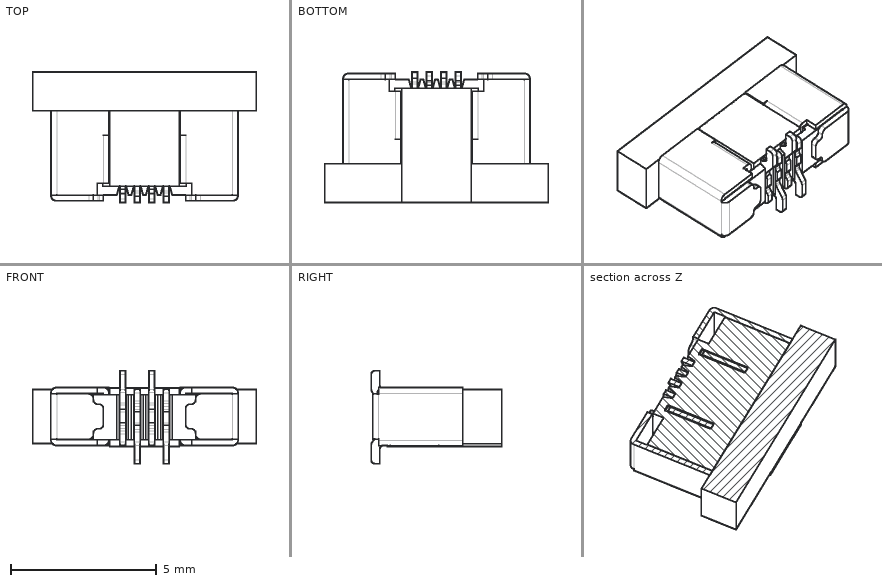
import cadquery as cq


REAR = 2.25
SLIDER_FRONT = 0.91
CURL_REAR = 0.07
NOTCH_REAR = -1.59
LID_FRONT = -1.69
LIP_FRONT = -1.995

SLIDER_LENGTH = 7.7
SLIDER_TOP = 0.955
SLIDER_BOTTOM = -0.91

SHEET = 0.2
CLIP_OUTER_X = 3.22
CLIP_INNER_X = 1.225
CLIP_MID_Z = 0.02
CLIP_HALF_HEIGHT = 1.0
BEND_RADIUS = 0.19
CURL_DEPTH = 0.41
NOTCH_X = 1.625
PLATE_HALF_HEIGHT = 0.78
PLATE_EDGE_X = 1.755
PLATE_TONGUE_X = 1.42
TONGUE_HALF_HEIGHT = 0.42
TONGUE_RADIUS = 0.15
PLATE_CORNER_RADIUS = 0.17

BLOCK_HALF_LENGTH = 1.2
BLOCK_HALF_HEIGHT = 1.01
LIP_HALF_LENGTH = 1.755
SLOT_OUTER_X = 1.44
CHANNEL_BASE_WIDTH = 0.23
CHANNEL_MOUTH_WIDTH = 0.4

PIN_COUNT = 4
PIN_PITCH = 0.5
PIN_WIDTH = 0.2
RECESS_Y = -1.93
PAD_Y = -2.0
END_Y = -2.03
TAIL_FRONT = -2.25
TAIL_BACK = -1.95
TAIL_TIP = 1.6
TIP_RADIUS = 0.13
ARM_Z = 0.925
END_Z = 0.97
END_CREST_Y = -1.84
END_RADIUS = 0.12
END_STEP_Z = (0.57, 0.38)
PAD_HALF_HEIGHT = 0.185
RECESS_END = 0.28
PAD_STEP_RADIUS = 0.1
SLOPE_Z = (0.46, 0.9)
SLOPE_RADII = (0.12, 0.19)
ARM_BREAK = (-1.79, 0.94)
TAIL_FOOT_Z = 1.03
TAIL_FOOT_RADIUS = 0.12

clip_top = CLIP_MID_Z + CLIP_HALF_HEIGHT
clip_bottom = CLIP_MID_Z - CLIP_HALF_HEIGHT
curl_bottom = clip_top - CURL_DEPTH
inside_half_height = CLIP_HALF_HEIGHT - SHEET
inside_top = CLIP_MID_Z + inside_half_height
inside_bottom = CLIP_MID_Z - inside_half_height
inside_x = CLIP_OUTER_X - SHEET
pin_places = [(i - (PIN_COUNT - 1) / 2) * PIN_PITCH for i in range(PIN_COUNT)]


def box(x_range, y_range, z_range):
    """A box between two limits along each axis."""
    (x0, x1), (y0, y1), (z0, z1) = x_range, y_range, z_range
    return cq.Workplane("XY").box(x1 - x0, y1 - y0, z1 - z0, centered=False).translate((x0, y0, z0))


def flip_z(shape):
    """The shape mirrored about the mid height of the clips."""
    return shape.mirror("XY", (0, 0, CLIP_MID_Z))


def make_slider():
    half = SLIDER_LENGTH / 2
    return box((-half, half), (SLIDER_FRONT, REAR), (SLIDER_BOTTOM, SLIDER_TOP))


def make_pin_channel(x):
    """Cutter for one pin channel, widening towards the front."""
    base = CHANNEL_BASE_WIDTH / 2
    mouth = CHANNEL_MOUTH_WIDTH / 2
    outline = [(x - base, LID_FRONT), (x + base, LID_FRONT), (x + mouth, LIP_FRONT), (x - mouth, LIP_FRONT)]
    height = inside_top - inside_bottom
    return cq.Workplane("XY", origin=(0, 0, inside_bottom)).polyline(outline).close().extrude(height)


def make_housing():
    block_x = (-BLOCK_HALF_LENGTH, BLOCK_HALF_LENGTH)

    body = box((-inside_x, inside_x), (NOTCH_REAR, SLIDER_FRONT), (inside_bottom, inside_top))
    body = body.union(box(block_x, (LID_FRONT, SLIDER_FRONT), (-BLOCK_HALF_HEIGHT, BLOCK_HALF_HEIGHT)))
    lip_x = (-LIP_HALF_LENGTH, LIP_HALF_LENGTH)
    lip_z = (inside_bottom, -inside_bottom)
    body = body.union(box(lip_x, (LIP_FRONT, NOTCH_REAR), lip_z))
    body = body.union(box(block_x, (SLIDER_FRONT, REAR), (-BLOCK_HALF_HEIGHT, SLIDER_BOTTOM)))

    for x in pin_places:
        body = body.cut(make_pin_channel(x))

    slot = box((BLOCK_HALF_LENGTH, SLOT_OUTER_X), (LID_FRONT, CURL_REAR), (curl_bottom, clip_top))
    for half in (slot, flip_z(slot)):
        body = body.cut(half).cut(half.mirror("YZ"))
    return body


def make_front_plate():
    """Front plate of the +X clip, with a rounded tongue towards the pins."""
    r = TONGUE_RADIUS
    top = PLATE_HALF_HEIGHT
    tongue = TONGUE_HALF_HEIGHT
    plate = (
        cq.Workplane("XZ", origin=(0, LIP_FRONT, CLIP_MID_Z))
        .moveTo(CLIP_OUTER_X, -top)
        .lineTo(CLIP_OUTER_X, top)
        .lineTo(PLATE_EDGE_X + PLATE_CORNER_RADIUS, top)
        .tangentArcPoint((PLATE_EDGE_X, top - PLATE_CORNER_RADIUS), relative=False)
        .lineTo(PLATE_EDGE_X, tongue + r)
        .tangentArcPoint((PLATE_EDGE_X - r, tongue), relative=False)
        .lineTo(PLATE_TONGUE_X + r, tongue)
        .tangentArcPoint((PLATE_TONGUE_X, tongue - r), relative=False)
        .lineTo(PLATE_TONGUE_X, r - tongue)
        .tangentArcPoint((PLATE_TONGUE_X + r, -tongue), relative=False)
        .lineTo(PLATE_EDGE_X - r, -tongue)
        .tangentArcPoint((PLATE_EDGE_X, -tongue - r), relative=False)
        .lineTo(PLATE_EDGE_X, PLATE_CORNER_RADIUS - top)
        .tangentArcPoint((PLATE_EDGE_X + PLATE_CORNER_RADIUS, -top), relative=False)
        .close()
        .extrude(SHEET)
    )
    return plate.edges("|Z and >X and <Y").fillet(BEND_RADIUS)


def make_clip():
    """The +X clip: a channel round the side of the housing with a plate bent across its front."""
    shell = box((CLIP_INNER_X, CLIP_OUTER_X), (LIP_FRONT, SLIDER_FRONT), (clip_bottom, clip_top))
    shell = shell.edges("|Y and >X").fillet(BEND_RADIUS)
    shell = shell.cut(box((0, inside_x), (LIP_FRONT, SLIDER_FRONT), (inside_bottom, inside_top)))

    shell = shell.cut(box((0, NOTCH_X), (LIP_FRONT, NOTCH_REAR), (clip_bottom, clip_top)))

    curl_x = (CLIP_INNER_X, CLIP_INNER_X + SHEET)
    curl_y = (NOTCH_REAR, CURL_REAR)
    curl_space = box(curl_x, curl_y, (inside_top, clip_top))
    curl = box(curl_x, curl_y, (curl_bottom, clip_top))
    curl = curl.edges("|Y and <X and >Z").fillet(BEND_RADIUS)
    for space, edge in ((curl_space, curl), (flip_z(curl_space), flip_z(curl))):
        shell = shell.cut(space).union(edge)

    return shell.union(make_front_plate())


def make_pin():
    """A pin at X = 0 with its solder tail pointing up."""
    step_outer, step_inner = END_STEP_Z
    slope_start, slope_end = SLOPE_Z
    step_middle = ((END_Y + RECESS_Y) / 2, -(step_outer + step_inner) / 2)

    pin = (
        cq.Workplane("YZ", origin=(-PIN_WIDTH / 2, 0, 0))
        .moveTo(LID_FRONT, -ARM_Z)
        .lineTo(END_CREST_Y, -END_Z)
        .lineTo(END_Y + END_RADIUS, -END_Z)
        .tangentArcPoint((END_Y, END_RADIUS - END_Z), relative=False)
        .lineTo(END_Y, -step_outer)
        .tangentArcPoint(step_middle, relative=False)
        .tangentArcPoint((RECESS_Y, -step_inner), relative=False)
        .lineTo(RECESS_Y, -RECESS_END)
        .tangentArcPoint((PAD_Y, -PAD_HALF_HEIGHT), relative=False)
        .lineTo(PAD_Y, PAD_HALF_HEIGHT)
        .radiusArc((RECESS_Y, RECESS_END), PAD_STEP_RADIUS)
        .lineTo(RECESS_Y, slope_start)
        .lineTo(TAIL_FRONT, slope_end)
        .lineTo(TAIL_FRONT, TAIL_TIP - TIP_RADIUS)
        .tangentArcPoint((TAIL_FRONT + TIP_RADIUS, TAIL_TIP), relative=False)
        .lineTo(TAIL_BACK, TAIL_TIP)
        .lineTo(TAIL_BACK, TAIL_FOOT_Z)
        .lineTo(*ARM_BREAK)
        .lineTo(LID_FRONT, ARM_Z)
        .close()
        .extrude(PIN_WIDTH)
    )

    rounded_corners = [
        ((RECESS_Y, slope_start), SLOPE_RADII[0]),
        ((TAIL_FRONT, slope_end), SLOPE_RADII[1]),
        ((TAIL_BACK, TAIL_FOOT_Z), TAIL_FOOT_RADIUS),
    ]
    for (y, z), radius in rounded_corners:
        pin = pin.edges(cq.NearestToPointSelector((0, y, z))).fillet(radius)
    return pin


slider = make_slider()
housing = make_housing()

right_clip = make_clip()
clips = [right_clip, right_clip.mirror("YZ")]

pin_up = make_pin()
pin_down = pin_up.mirror("XY")
pins = []
for number, x in enumerate(pin_places):
    pin = pin_up if number % 2 == 0 else pin_down
    pins.append(pin.translate((x, 0, 0)))

bodies = [slider, housing, *clips, *pins]
result = cq.Compound.makeCompound([body.solids().val() for body in bodies])